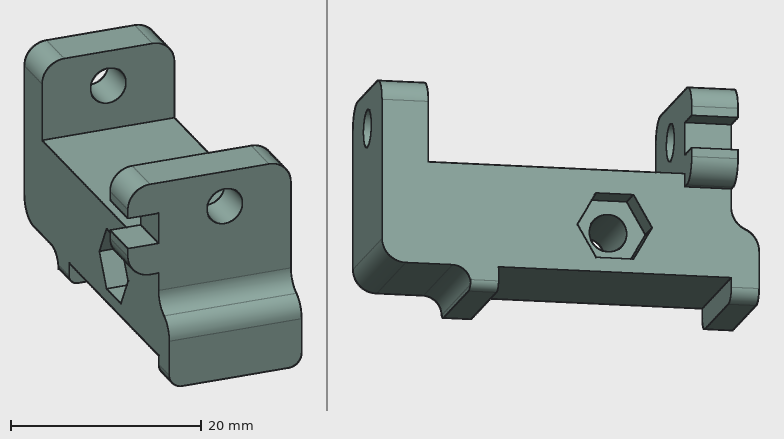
import cadquery as cq
import math

length = 40.5
depth = 15.03
height = 22.5
deck_z = 13.5
underside_z = 2.5
arm_thickness = 5.0
corner_radius = 2.5

right_arm_end = 37.5
right_arm_start = right_arm_end - arm_thickness
fork_reach = 3.5
fork_bottom = 12.05
slot_bottom = 15.5
slot_top = 19.0

foot_start = 9.5
foot_end = 12.5
foot_blend_radius = 2.0
left_foot_rounding = 1.0
right_foot_rounding = 1.5
shoulder_top = 10.1
shoulder_radius = 2.5

hole_diameter = 4.0
arm_hole_z = 18.5
cross_hole_x = 25.0
cross_hole_z = 7.5
nut_across_corners = 8.0
nut_pocket_depth = 3.5


def make_body():
    """Side profile with both arms and feet, extruded across the depth."""
    half_step = (length - right_arm_end) / 2
    half_drop = math.sqrt(shoulder_radius**2 - (shoulder_radius - half_step) ** 2)
    half_turn = math.acos(1 - half_step / shoulder_radius) / 2
    arc_side = shoulder_radius * (1 - math.cos(half_turn))
    arc_drop = shoulder_radius * math.sin(half_turn)
    shoulder_bottom = shoulder_top - 2 * half_drop
    blend_diagonal = foot_blend_radius * math.sqrt(0.5)
    blend_center_x = foot_start - foot_blend_radius
    blend_center_z = underside_z - foot_blend_radius
    corner_inset = corner_radius * (1 - math.sqrt(0.5))

    profile = (
        cq.Workplane("XZ")
        .moveTo(0, height)
        .lineTo(arm_thickness, height)
        .lineTo(arm_thickness, deck_z)
        .lineTo(right_arm_start, deck_z)
        .lineTo(right_arm_start, height)
        .lineTo(right_arm_end, height)
        .lineTo(right_arm_end, shoulder_top)
        .threePointArc(
            (right_arm_end + arc_side, shoulder_top - arc_drop),
            (right_arm_end + half_step, shoulder_top - half_drop),
        )
        .threePointArc(
            (length - arc_side, shoulder_bottom + arc_drop),
            (length, shoulder_bottom),
        )
        .lineTo(length, 0)
        .lineTo(right_arm_end, 0)
        .lineTo(right_arm_end, underside_z)
        .lineTo(foot_end, underside_z)
        .lineTo(foot_end, 0)
        .lineTo(foot_start, 0)
        .lineTo(foot_start, blend_center_z)
        .threePointArc(
            (blend_center_x + blend_diagonal, blend_center_z + blend_diagonal),
            (blend_center_x, underside_z),
        )
        .lineTo(corner_radius, underside_z)
        .threePointArc((corner_inset, underside_z + corner_inset), (0, underside_z + corner_radius))
        .close()
    )
    return profile.extrude(-depth)


def rounded_section(x_start, x_end, z_bottom, z_top, radius, edges):
    """Full-depth block along X with the chosen lengthwise edges rounded."""
    size = (x_end - x_start, depth, z_top - z_bottom)
    block = cq.Workplane("XY").box(*size, centered=False).edges(edges).fillet(radius)
    return block.translate((x_start, 0, z_bottom))


def round_ends(body, x_start, x_end, z_bottom, z_top, radius, edges):
    """Trim the body to rounded edges within one stretch of X and Z."""
    stock = cq.Workplane("XY").box(x_end - x_start, depth, z_top - z_bottom, centered=False)
    stock = stock.translate((x_start, 0, z_bottom))
    return body.cut(stock.cut(rounded_section(x_start, x_end, z_bottom, z_top, radius, edges)))


def make_fork():
    """Right arm plate reaching past the front face, with an open slot."""
    plate = (
        cq.Workplane("XY")
        .box(arm_thickness, depth + fork_reach, height - fork_bottom, centered=False)
        .edges("|X and (>Z or <Y)")
        .fillet(corner_radius)
        .translate((right_arm_start, -fork_reach, fork_bottom))
    )
    slot = (
        cq.Workplane("XY")
        .box(arm_thickness, fork_reach, slot_top - slot_bottom, centered=False)
        .translate((right_arm_start, -fork_reach, slot_bottom))
    )
    return plate.cut(slot)


body = make_body()
body = round_ends(body, 0, arm_thickness, deck_z, height, corner_radius, "|X and >Z")
body = round_ends(body, right_arm_start, right_arm_end, deck_z, height, corner_radius, "|X and >Z")
body = round_ends(body, foot_start, foot_end, 0, underside_z, left_foot_rounding, "|X and <Z")
body = round_ends(body, right_arm_end, length, 0, underside_z, right_foot_rounding, "|X and <Z")
body = body.union(make_fork())

arm_holes = (
    cq.Workplane("YZ")
    .center(depth / 2, arm_hole_z)
    .circle(hole_diameter / 2)
    .extrude(length)
)

cross_plane = cq.Workplane("XZ").center(cross_hole_x, cross_hole_z)
cross_hole = cross_plane.circle(hole_diameter / 2).extrude(-depth)
nut_pocket = cross_plane.polygon(6, nut_across_corners).extrude(-nut_pocket_depth)

result = body.cut(arm_holes).cut(cross_hole).cut(nut_pocket)